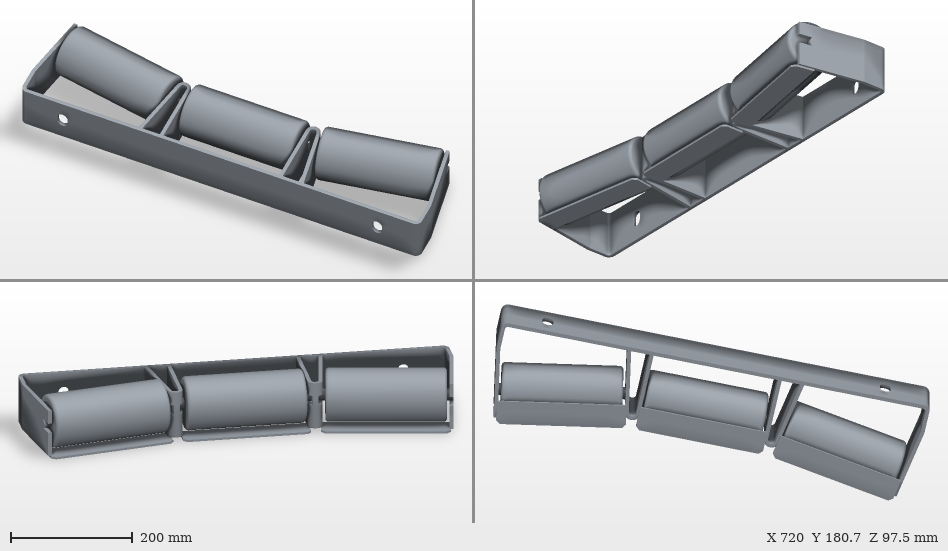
import cadquery as cq
import math

frame_length = 720.0
strip_height = 80.0
wall = 6.5
frame_bend_radius = 11.5
bracket_bend_radius = 12.0
frame_arm_back = 169.0
bracket_back = 127.0

tilt = 10.0
middle_y = 100.0
side_x = 235.0
side_y = 120.0
axis_height = 49.0
seat_half_span = 104.5

roller_radius = 45.0
roller_half_length = 100.0
roller_edge_radius = 6.0
shaft_diameter = 20.0
shaft_flat_width = 16.0

plate_thickness = 3.5
plate_length = 214.0
plate_depth = 40.0
plate_chamfer = 6.5

mount_x = 284.0
mount_z = 40.0
mount_width = 18.0
mount_length = 27.0

support_half_span = seat_half_span + wall
tilt_sin = math.sin(math.radians(tilt))
tilt_cos = math.cos(math.radians(tilt))
tilt_tan = tilt_sin / tilt_cos
half_length = frame_length / 2
stations = [(-side_x, side_y, -tilt), (0, middle_y, 0), (side_x, side_y, tilt)]


def place(body, station):
    """Move a body made about the origin, lying along X, to a roller station."""
    x, y, angle = station
    return body.rotate((0, 0, 0), (0, 0, 1), angle).translate((x, y, 0))


def mirror_path(left_half):
    """Complete a left-hand path with its mirror image about X = 0."""
    return left_half + [(-x, y) for x, y in reversed(left_half)]


def offset_path(points, distance):
    """Shift an open path to its left-hand side, with mitred corners."""
    normals = []
    for (x0, y0), (x1, y1) in zip(points, points[1:]):
        length = math.hypot(x1 - x0, y1 - y0)
        normals.append(((y0 - y1) / length, (x1 - x0) / length))
    shifted = []
    for i, (x, y) in enumerate(points):
        ax, ay = normals[max(i - 1, 0)]
        bx, by = normals[min(i, len(normals) - 1)]
        reach = distance / (1 + ax * bx + ay * by)
        shifted.append((x + reach * (ax + bx), y + reach * (ay + by)))
    return shifted


def bent_strip(outer_path, inside, outer_radius):
    """Upright strip whose outer face follows the path; inside is +1 for left, -1 for right."""
    inner_path = offset_path(outer_path, inside * wall)
    outline = outer_path + inner_path[::-1]
    strip = cq.Workplane("XY").polyline(outline).close().extrude(strip_height)
    for path, radius in ((outer_path, outer_radius), (inner_path, outer_radius - wall)):
        for x, y in path[1:-1]:
            bend = cq.NearestToPointSelector((x, y, strip_height / 2))
            strip = strip.edges(bend).fillet(radius)
    return strip


def side_wall_x(distance, y):
    """X at a given Y on the plane square to the left roller's axis, a signed distance from its centre."""
    return -side_x + distance / tilt_cos + (y - side_y) * tilt_tan


def make_cylinder(radius, half_span):
    """Round bar along the roller axis."""
    start = cq.Workplane("YZ", origin=(-half_span, 0, axis_height))
    return start.circle(radius).extrude(2 * half_span)


def make_flatted_shaft():
    """Shaft that spans the support walls, with a flat above and below."""
    flats = cq.Workplane("XY").box(2 * support_half_span, shaft_diameter, shaft_flat_width)
    shaft = make_cylinder(shaft_diameter / 2, support_half_span)
    return shaft.intersect(flats.translate((0, 0, axis_height)))


def cut_seats(body, station, ends):
    """Cut shaft slots, open to the back, in the walls at the given ends of a station."""
    entry = cq.Workplane("XY").box(
        2 * support_half_span, frame_arm_back, shaft_flat_width, centered=(True, False, True)
    ).translate((0, 0, axis_height))
    slot = make_flatted_shaft().union(entry)
    for end in ends:
        window = cq.Workplane("XY").box(2 * wall, 2 * frame_length, 2 * frame_length)
        seat = slot.intersect(window.translate((end * support_half_span, 0, 0)))
        body = body.cut(place(seat, station))
    return body


def make_frame():
    """Long front wall with two arms that bend inward to carry the outer shaft ends."""
    bend_y = side_y + (side_x + support_half_span / tilt_cos - half_length) / tilt_tan
    arm_tip = (side_wall_x(-support_half_span, frame_arm_back), frame_arm_back)
    path = mirror_path([arm_tip, (-half_length, bend_y), (-half_length, 0)])
    frame = bent_strip(path, 1, frame_bend_radius)
    holes = (
        cq.Workplane("XZ")
        .pushPoints([(-mount_x, mount_z), (mount_x, mount_z)])
        .slot2D(mount_length, mount_width, 90)
        .extrude(-wall)
    )
    frame = frame.cut(holes)
    frame = cut_seats(frame, stations[0], [-1])
    return cut_seats(frame, stations[2], [1])


def make_left_bracket():
    """Hairpin between the left and middle rollers, standing on the front wall."""
    path = [
        (side_wall_x(seat_half_span, 0), 0),
        (side_wall_x(seat_half_span, bracket_back), bracket_back),
        (-seat_half_span, bracket_back),
        (-seat_half_span, 0),
    ]
    front_wall = cq.Workplane("XY").box(frame_length, 2 * wall, 2 * strip_height)
    bracket = bent_strip(path, -1, bracket_bend_radius).cut(front_wall)
    bracket = cut_seats(bracket, stations[0], [1])
    return cut_seats(bracket, stations[1], [-1])


def make_roller():
    """Roller with rounded rims on a round shaft, flatted where it sits in the walls."""
    roller = make_cylinder(roller_radius, roller_half_length).edges().fillet(roller_edge_radius)
    shoulders = make_cylinder(shaft_diameter / 2, seat_half_span)
    return roller.union(shoulders).union(make_flatted_shaft())


def make_guard_plate():
    """Flat plate reaching back from the roller axis, with clipped back corners."""
    plate = cq.Workplane("XY").box(
        plate_length, plate_depth, plate_thickness, centered=(True, False, False)
    )
    plate = plate.edges("|Z and >Y").chamfer(plate_chamfer)
    return plate.translate((0, 0, -plate_thickness))


frame = make_frame()
left_bracket = make_left_bracket()
brackets = [left_bracket, left_bracket.mirror("YZ")]
rollers = [place(make_roller(), station) for station in stations]
guard_plates = [place(make_guard_plate(), station) for station in stations]

bodies = [frame, *brackets, *rollers, *guard_plates]
result = cq.Compound.makeCompound([body.val() for body in bodies])